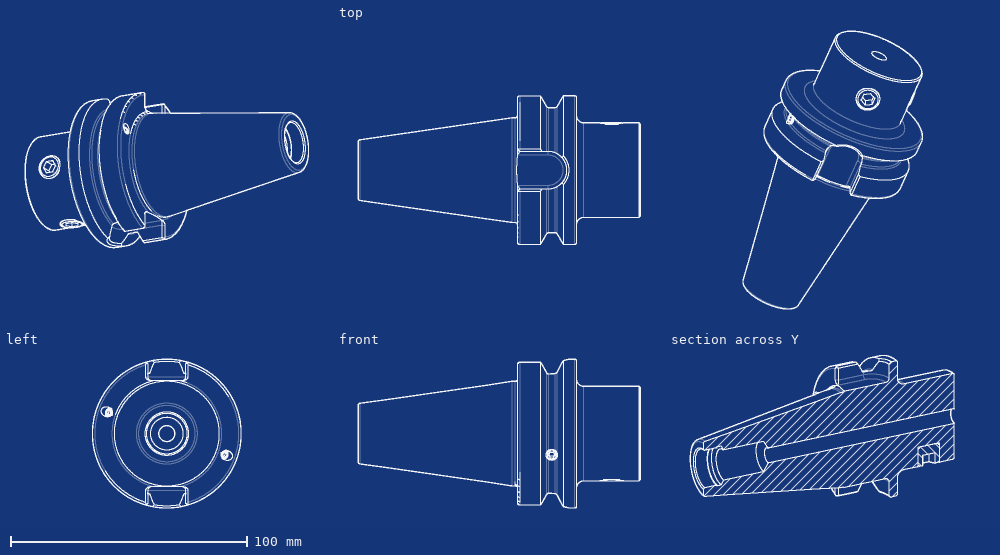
import cadquery as cq
import math

overall_length = 119.4
neck_start = 65.2
flange_front = 67.3
flange_back = 92.4

small_end_radius = 12.8
neck_radius = 22.2
flange_radius = 31.5
nose_radius = 20.0
small_end_fillet = 1.0
neck_fillet = 1.0
flange_front_fillet = 1.1
flange_back_fillet = 0.8
nose_root_fillet = 3.0
nose_chamfer = 0.6
cutter_clearance = 1.2

groove_floor_radius = 26.5
groove_front = 77.1
groove_back = 86.8
groove_flank_angle = 30.0
groove_root_fillet = 1.0

keyway_half_width = 8.0
keyway_floor = 22.5
keyway_arc_centre = 80.2
keyway_floor_fillet = 1.5
keyway_edge_chamfer = 1.0

pilot_radius = 8.6
pilot_chamfer = 0.6
pilot_depth = 6.5
relief_radius = 9.0
relief_depth = 8.5
thread_radius = 6.9
thread_depth = 28.7
countersink_half_angle = 60.0
drill_point_half_angle = 59.0
coolant_radius = 3.3

plug_plane_angle = 20.0
outlet_radial_place = 27.0
outlet_tilt = 35.0
outlet_recess = 1.4
outlet_radius = 2.0
outlet_plug_length = 4.0
outlet_plug_chamfer = 0.6
outlet_socket_width = 2.0
outlet_socket_depth = 1.5

cross_hole_place = 81.9
cross_radius = 2.4
cross_plug_length = 5.0
cross_plug_chamfer = 0.5
cross_socket_width = 2.5
cross_socket_depth = 2.0

clamp_place = 107.2
clamp_angles = (0, -90)
clamp_radius = 5.0
clamp_length = 9.0
clamp_chamfer = 0.7
clamp_socket_width = 5.0
clamp_socket_depth = 4.8


def revolve_about_x(profile):
    """Full turn of a closed XY profile about the X axis."""
    return profile.close().revolve(360, (0, 0, 0), (1, 0, 0))


def holder_blank():
    """Turned outside of the holder, before the groove and the keyways are cut."""
    profile = (
        cq.Workplane("XY")
        .moveTo(0, 0)
        .lineTo(0, small_end_radius)
        .lineTo(neck_start, neck_radius)
        .lineTo(flange_front - neck_fillet, neck_radius)
        .radiusArc((flange_front, neck_radius + neck_fillet), -neck_fillet)
        .lineTo(flange_front, flange_radius - flange_front_fillet)
        .radiusArc((flange_front + flange_front_fillet, flange_radius), flange_front_fillet)
        .lineTo(flange_back - flange_back_fillet, flange_radius)
        .radiusArc((flange_back, flange_radius - flange_back_fillet), flange_back_fillet)
        .lineTo(flange_back, nose_radius + nose_root_fillet)
        .radiusArc((flange_back + nose_root_fillet, nose_radius), -nose_root_fillet)
        .lineTo(overall_length - nose_chamfer, nose_radius)
        .lineTo(overall_length, nose_radius - nose_chamfer)
        .lineTo(overall_length, 0)
    )
    return revolve_about_x(profile).faces("<X").edges().fillet(small_end_fillet)


def keyway_cutter():
    """U-shaped slot with a rounded bottom edge, flared at the flange front to chamfer its mouth."""
    cutter_front = flange_front - neck_fillet
    flare_end = flange_front + keyway_edge_chamfer
    mouth_half_width = keyway_half_width + flare_end - cutter_front
    cutter = (
        cq.Workplane("XY", origin=(0, 0, keyway_floor))
        .moveTo(cutter_front, -mouth_half_width)
        .lineTo(flare_end, -keyway_half_width)
        .lineTo(keyway_arc_centre, -keyway_half_width)
        .threePointArc(
            (keyway_arc_centre + keyway_half_width, 0), (keyway_arc_centre, keyway_half_width)
        )
        .lineTo(flare_end, keyway_half_width)
        .lineTo(cutter_front, mouth_half_width)
        .close()
        .extrude(flange_radius - keyway_floor + cutter_clearance)
    )
    return cutter.faces("<Z").edges("not(<X)").fillet(keyway_floor_fillet)


def is_keyway_rim(edge):
    """True for an edge where a keyway wall meets the outer cylinder of the flange."""
    middle = edge.positionAt(0.5)
    on_cylinder = abs(math.hypot(middle.y, middle.z) - flange_radius) < flange_back_fillet / 2
    behind_mouth = middle.x > flange_front + keyway_edge_chamfer
    before_back = middle.x < flange_back - flange_back_fillet
    within_keyway = abs(middle.y) < keyway_half_width + keyway_edge_chamfer / 2
    return on_cylinder and behind_mouth and before_back and within_keyway


def cut_keyways(body):
    """Cut both keyways and chamfer their outer rims."""
    cutter = keyway_cutter()
    body = body.cut(cutter).cut(cutter.rotate((0, 0, 0), (1, 0, 0), 180))
    rim = [edge for edge in body.val().Edges() if is_keyway_rim(edge)]
    return body.newObject(rim).chamfer(keyway_edge_chamfer)


def groove_cutter():
    """Ring with a V section, flat at the groove floor and rounded at the floor's two edges."""
    flank_run = (flange_radius - groove_floor_radius) * math.tan(math.radians(groove_flank_angle))
    profile = cq.Workplane("XY").polyline(
        [
            (groove_front, flange_radius),
            (groove_front + flank_run, groove_floor_radius),
            (groove_back - flank_run, groove_floor_radius),
            (groove_back, flange_radius),
            (groove_back, flange_radius + cutter_clearance),
            (groove_front, flange_radius + cutter_clearance),
        ]
    )
    floor_reach = (groove_floor_radius + flange_radius) / 2
    floor_edges = cq.selectors.BoxSelector(
        (groove_front, -floor_reach, -floor_reach),
        (groove_back, floor_reach, floor_reach),
        boundingbox=True,
    )
    return revolve_about_x(profile).edges(floor_edges).fillet(groove_root_fillet)


def cone_length(large_radius, small_radius, half_angle):
    """Length of a cone between two radii."""
    return (large_radius - small_radius) / math.tan(math.radians(half_angle))


def bore_cutter():
    """Pilot bore, relief, thread core with a drill point, and coolant hole through to the nose."""
    countersink_length = cone_length(relief_radius, thread_radius, countersink_half_angle)
    point_length = cone_length(thread_radius, coolant_radius, drill_point_half_angle)
    profile = cq.Workplane("XY").polyline(
        [
            (0, 0),
            (0, pilot_radius + pilot_chamfer),
            (pilot_chamfer, pilot_radius),
            (pilot_depth, pilot_radius),
            (pilot_depth, relief_radius),
            (relief_depth, relief_radius),
            (relief_depth + countersink_length, thread_radius),
            (thread_depth, thread_radius),
            (thread_depth + point_length, coolant_radius),
            (overall_length, coolant_radius),
            (overall_length, 0),
        ]
    )
    return revolve_about_x(profile)


def radial_direction(angle):
    """Unit vector square to X, turned by the angle from +Y towards +Z."""
    return cq.Vector(0, math.cos(math.radians(angle)), math.sin(math.radians(angle)))


def radial_plane(station, radius, angle):
    """Plane at a station and radius, pointing away from the X axis."""
    radial = radial_direction(angle)
    centre = cq.Vector(station, 0, 0) + radial * radius
    return cq.Plane(origin=centre, xDir=(1, 0, 0), normal=radial)


def outlet_plane(angle):
    """Plane at a coolant outlet in the flange front, pointing out along the tilted hole."""
    radial = radial_direction(angle)
    tilt = math.radians(outlet_tilt)
    outward = radial * math.sin(tilt) - cq.Vector(math.cos(tilt), 0, 0)
    centre = cq.Vector(flange_front, 0, 0) + radial * outlet_radial_place
    return cq.Plane(origin=centre, xDir=outward.cross(radial), normal=outward)


def hole_cutter(plane, radius, depth):
    """Flat-bottomed drill that also clears the material just outside the plane."""
    return cq.Workplane(plane).workplane(offset=radius).circle(radius).extrude(-depth - radius)


def set_screw(plane, radius, length, chamfer, socket_width, socket_depth):
    """Headless screw with a hexagon socket; the plane lies on its top and points outwards."""
    socket_diameter = socket_width / math.cos(math.radians(30))
    socket = cq.Workplane(plane).polygon(6, socket_diameter).extrude(-socket_depth)
    blank = cq.Workplane(plane).circle(radius).extrude(-length)
    return blank.edges("%CIRCLE").chamfer(chamfer).cut(socket)


def outlet_plug(plane):
    """Plug sunk below a coolant outlet."""
    top = cq.Workplane(plane).workplane(offset=-outlet_recess).plane
    return set_screw(
        top,
        outlet_radius,
        outlet_plug_length,
        outlet_plug_chamfer,
        outlet_socket_width,
        outlet_socket_depth,
    )


def cross_plug(plane):
    """Plug level with the groove floor."""
    return set_screw(
        plane,
        cross_radius,
        cross_plug_length,
        cross_plug_chamfer,
        cross_socket_width,
        cross_socket_depth,
    )


def clamp_screw(plane):
    """Clamping screw with its top level with the nose."""
    return set_screw(
        plane,
        clamp_radius,
        clamp_length,
        clamp_chamfer,
        clamp_socket_width,
        clamp_socket_depth,
    )


opposite_angle = plug_plane_angle + 180
outlet_planes = [outlet_plane(angle) for angle in (plug_plane_angle, opposite_angle)]
cross_plane = radial_plane(cross_hole_place, groove_floor_radius, opposite_angle)
clamp_planes = [radial_plane(clamp_place, nose_radius, angle) for angle in clamp_angles]

holder = cut_keyways(holder_blank())
holder = holder.cut(groove_cutter()).cut(bore_cutter())
for plane in outlet_planes:
    holder = holder.cut(hole_cutter(plane, outlet_radius, outlet_recess + outlet_plug_length))
holder = holder.cut(hole_cutter(cross_plane, cross_radius, cross_plug_length))
for plane in clamp_planes:
    holder = holder.cut(hole_cutter(plane, clamp_radius, clamp_length))

result = cq.Compound.makeCompound(
    [
        holder.val(),
        *[outlet_plug(plane).val() for plane in outlet_planes],
        cross_plug(cross_plane).val(),
        *[clamp_screw(plane).val() for plane in clamp_planes],
    ]
)